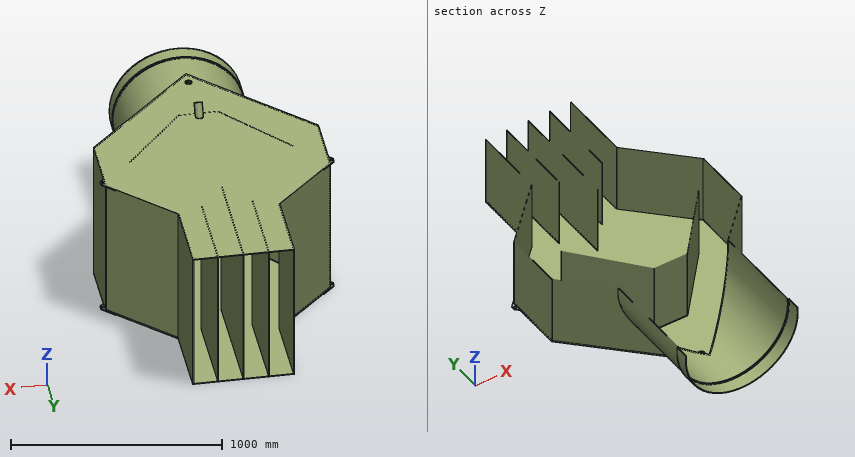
import cadquery as cq
import math


OVERALL_WIDTH = 1119.0
OVERALL_LENGTH = 1818.0
OVERALL_HEIGHT = 777.63
SHEET = 5.0

BODY_HEIGHT = 713.0
BODY_HALF_WIDTH = 540.0
SIDE_FRONT_Y = 537.0
SIDE_REAR_Y = 863.0
DUCT_HALF_WIDTH = 244.0
DUCT_START_Y = 1157.0
DUCT_END_Y = 1547.0

PIPE_OD = 630.0
PIPE_ID = 620.0
COLLAR_OD = 640.0
COLLAR_ID = 630.0
COLLAR_LENGTH = 73.0
SWAGE_LENGTH = 4.0
MOUTH_Y = DUCT_END_Y - OVERALL_LENGTH

NOSE_HALF_WIDTH = 95.0
NOSE_Y = 332.0
WING_HALF_WIDTH = 392.0
WING_END_Y = 680.0

BAFFLE_PITCH = DUCT_HALF_WIDTH / 2
CENTRE_BAFFLE_START_Y = 955.0
SIDE_BAFFLE_START_Y = 1100.0

LUG_TIP_X = OVERALL_WIDTH / 2
LUG_TIP_FRONT_Y = 826.0
LUG_TIP_REAR_Y = 849.0
LUG_REACH = 60.0
LUG_HOLE_DIAMETER = 15.0
LUG_HOLE_EDGE_DISTANCE = 10.0
LUG_HOLE_X = LUG_TIP_X - LUG_HOLE_EDGE_DISTANCE
LUG_HOLE_Y = 834.0

DRAIN_DIAMETER = 32.0
DRAIN_Y = 72.0

TUBE_OD = 40.0
TUBE_ID = 36.67
TUBE_TILT = 30.0
TUBE_Y = 360.0
TUBE_OVERRUN = 40.0

TOP_Z = BODY_HEIGHT / 2
BOTTOM_Z = -TOP_Z
TUBE_TOP_Z = BOTTOM_Z + OVERALL_HEIGHT


def plan_prism(points, bottom_z, top_z):
    """Vertical prism on a closed plan outline."""
    return cq.Workplane("XY").workplane(offset=bottom_z).polyline(points).close().extrude(top_z - bottom_z)


def mirrored(right_points):
    """Close a right-hand outline (front to rear) with its left-hand mirror image."""
    left_points = [(-x, y) for x, y in reversed(right_points) if x > 0]
    return right_points + left_points


def swaged_cylinder(collar_diameter, pipe_diameter):
    """Solid of revolution on the pipe axis: collar, short cone and pipe, ending inside the housing."""
    collar_end_y = MOUTH_Y + COLLAR_LENGTH
    profile = [
        (0, MOUTH_Y),
        (collar_diameter / 2, MOUTH_Y),
        (collar_diameter / 2, collar_end_y),
        (pipe_diameter / 2, collar_end_y + SWAGE_LENGTH),
        (pipe_diameter / 2, SIDE_FRONT_Y),
        (0, SIDE_FRONT_Y),
    ]
    return cq.Workplane("XY").polyline(profile).close().revolve(360, (0, 0, 0), (0, 1, 0))


def body_prism(inset, bottom_z, top_z):
    """Solid housing shape with its walls moved inwards; the outlet end stays put."""
    front_bend = math.atan2(BODY_HALF_WIDTH, SIDE_FRONT_Y)
    rear_bend = math.atan2(BODY_HALF_WIDTH - DUCT_HALF_WIDTH, DUCT_START_Y - SIDE_REAR_Y)
    front_shift = inset * math.tan(front_bend / 2)
    rear_shift = inset * math.tan(rear_bend / 2)
    right_points = [
        (0, inset / math.sin(front_bend)),
        (BODY_HALF_WIDTH - inset, SIDE_FRONT_Y + front_shift),
        (BODY_HALF_WIDTH - inset, SIDE_REAR_Y - rear_shift),
        (DUCT_HALF_WIDTH - inset, DUCT_START_Y - rear_shift),
        (DUCT_HALF_WIDTH - inset, DUCT_END_Y),
    ]
    return plan_prism(mirrored(right_points), bottom_z, top_z)


def tube_cylinder(diameter):
    """Cylinder on the axis of the sloping tube, ending at the tube's upper face."""
    tilt = math.radians(TUBE_TILT)
    axis = cq.Vector(0, -math.sin(tilt), math.cos(tilt))
    end_centre_z = TUBE_TOP_Z - TUBE_OD / 2 * math.sin(tilt)
    length_above = (end_centre_z - TOP_Z) / math.cos(tilt)
    origin = cq.Vector(0, TUBE_Y, TOP_Z) - axis * TUBE_OVERRUN
    plane = cq.Plane(origin=origin, xDir=(1, 0, 0), normal=axis)
    return cq.Workplane(plane).circle(diameter / 2).extrude(TUBE_OVERRUN + length_above)


def make_housing():
    """Hollow housing, open at the outlet, with the inlet pipe and the sloping tube opening into it."""
    outside = body_prism(0, BOTTOM_Z, TOP_Z)
    cavity = body_prism(SHEET, BOTTOM_Z + SHEET, TOP_Z - SHEET)
    pipe = swaged_cylinder(COLLAR_OD, PIPE_OD)
    pipe_bore = swaged_cylinder(COLLAR_ID, PIPE_ID)
    shell = outside.union(pipe).union(tube_cylinder(TUBE_OD)).cut(cavity)
    return shell.cut(pipe_bore).cut(tube_cylinder(TUBE_ID))


def make_deflector():
    """Bent plate facing the inlet, spanning from the bottom sheet to the top sheet."""
    wing_angle = math.atan2(WING_END_Y - NOSE_Y, WING_HALF_WIDTH - NOSE_HALF_WIDTH)
    back_nose_x = NOSE_HALF_WIDTH - SHEET * math.tan(wing_angle / 2)
    back_wing_x = WING_HALF_WIDTH - SHEET * math.sin(wing_angle)
    back_wing_y = WING_END_Y + SHEET * math.cos(wing_angle)
    points = [
        (-NOSE_HALF_WIDTH, NOSE_Y),
        (NOSE_HALF_WIDTH, NOSE_Y),
        (WING_HALF_WIDTH, WING_END_Y),
        (back_wing_x, back_wing_y),
        (back_nose_x, NOSE_Y + SHEET),
        (-back_nose_x, NOSE_Y + SHEET),
        (-back_wing_x, back_wing_y),
        (-WING_HALF_WIDTH, WING_END_Y),
    ]
    return plan_prism(points, BOTTOM_Z + SHEET, TOP_Z - SHEET)


def make_baffle(x, start_y):
    """Upright plate along the outlet duct."""
    size_y = DUCT_END_Y - start_y
    baffle = cq.Workplane("XY").box(SHEET, size_y, BODY_HEIGHT - 2 * SHEET)
    return baffle.translate((x, start_y + size_y / 2, 0))


def make_lug(side, bottom_z):
    """Corner lug blank at one sheet level; side is -1 or +1."""
    right_points = [
        (LUG_TIP_X, LUG_TIP_FRONT_Y),
        (LUG_TIP_X, LUG_TIP_REAR_Y),
        (LUG_TIP_X - LUG_REACH, LUG_TIP_REAR_Y + LUG_REACH),
        (LUG_TIP_X - LUG_REACH, LUG_TIP_FRONT_Y - LUG_REACH),
    ]
    points = [(side * x, y) for x, y in right_points]
    return plan_prism(points, bottom_z, bottom_z + SHEET)


def vertical_hole(x, y, diameter):
    """Cutter running through the full height of the housing."""
    return cq.Workplane("XY", origin=(x, y, BOTTOM_Z)).circle(diameter / 2).extrude(BODY_HEIGHT)


result = make_housing().union(make_deflector())
result = result.union(make_baffle(0, CENTRE_BAFFLE_START_Y))
for side in (-1, 1):
    result = result.union(make_baffle(side * BAFFLE_PITCH, SIDE_BAFFLE_START_Y))
    for lug_z in (BOTTOM_Z, TOP_Z - SHEET):
        result = result.union(make_lug(side, lug_z))
    result = result.cut(vertical_hole(side * LUG_HOLE_X, LUG_HOLE_Y, LUG_HOLE_DIAMETER))
result = result.cut(vertical_hole(0, DRAIN_Y, DRAIN_DIAMETER))